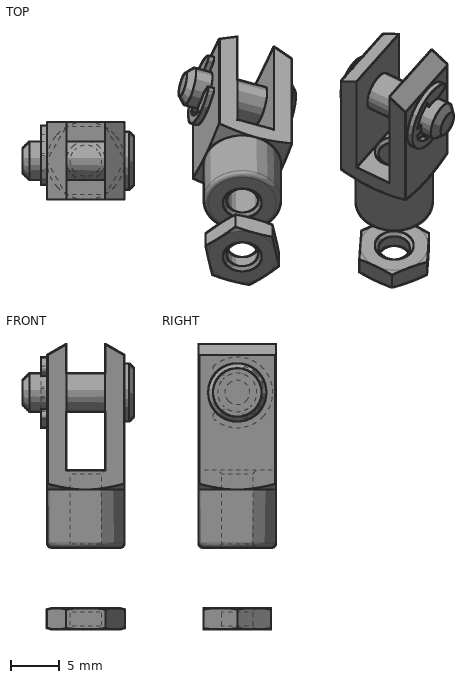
import cadquery as cq
import math

TOTAL_HEIGHT = 29.4
FORK_BOTTOM = 8.4
SHANK_LENGTH = 6.0
SHANK_TOP = FORK_BOTTOM + SHANK_LENGTH
SLOT_FLOOR = 16.4
PIN_HEIGHT = 24.4

FORK_WIDTH = 8.0
HALF_WIDTH = FORK_WIDTH / 2
SLOT_WIDTH = 4.0
HEAD_EDGE_CHAMFER = 0.1
TIP_BEVEL_ANGLE = 30.0
SHOULDER_ANGLE = 20.0
SHANK_EDGE_RADIUS = 0.5

BORE_DIAMETER = 3.23
BORE_MOUTH_DIAMETER = 4.0
BORE_CHAMFER = (BORE_MOUTH_DIAMETER - BORE_DIAMETER) / 2

PIN_DIAMETER = 4.0
PIN_TIP_X = -6.53
PIN_TIP_CHAMFER = 0.74
PIN_HEAD_DIAMETER = 6.0
PIN_HEAD_THICKNESS = 0.97
PIN_HEAD_CHAMFER = 0.5

CLIP_THICKNESS = 0.62
CLIP_RADIUS = 3.65
CLIP_WINDOW_RADIUS = 2.75
CLIP_WINDOW_START = 11.5
CLIP_WINDOW_END = 74.5
CLIP_MOUTH_HALF_WIDTH = 1.45
CLIP_MOUTH_ANGLE = 14.0
CLIP_TIP_RADIUS = 0.47

NUT_HEIGHT = 2.2
NUT_ACROSS_FLATS = 7.0
NUT_ACROSS_CORNERS = NUT_ACROSS_FLATS / math.cos(math.radians(30))
NUT_CHAMFER_ANGLE = 15.0


def cone_rise(run, angle):
    """Height gained by a slope of the given angle over a horizontal run."""
    return run * math.tan(math.radians(angle))


def revolve_about_z(points):
    """Solid of revolution from a closed outline of (radius, z) points."""
    return cq.Workplane("XZ").polyline(points).close().revolve(360, (0, 0), (0, 1))


def make_bore(bottom, top):
    """Cutter for a vertical hole that widens conically at both mouths."""
    radius = BORE_DIAMETER / 2
    mouth = BORE_MOUTH_DIAMETER / 2
    return revolve_about_z([
        (0, bottom),
        (mouth, bottom),
        (radius, bottom + BORE_CHAMFER),
        (radius, top - BORE_CHAMFER),
        (mouth, top),
        (0, top),
    ])


def make_fork_head():
    """Square head with bevelled prong tips and a conical underside."""
    bevel_drop = cone_rise((FORK_WIDTH - SLOT_WIDTH) / 2, TIP_BEVEL_ANGLE)
    head = (
        cq.Workplane("XY", origin=(0, 0, SHANK_TOP))
        .rect(FORK_WIDTH, FORK_WIDTH)
        .extrude(TOTAL_HEIGHT - SHANK_TOP)
        .edges("|Z")
        .chamfer(HEAD_EDGE_CHAMFER)
    )
    prong_profile = (
        cq.Workplane("XZ")
        .polyline([
            (-HALF_WIDTH, SHANK_TOP),
            (HALF_WIDTH, SHANK_TOP),
            (HALF_WIDTH, TOTAL_HEIGHT - bevel_drop),
            (SLOT_WIDTH / 2, TOTAL_HEIGHT),
            (SLOT_WIDTH / 2, SLOT_FLOOR),
            (-SLOT_WIDTH / 2, SLOT_FLOOR),
            (-SLOT_WIDTH / 2, TOTAL_HEIGHT),
            (-HALF_WIDTH, TOTAL_HEIGHT - bevel_drop),
        ])
        .close()
        .extrude(HALF_WIDTH, both=True)
    )
    shoulder_radius = FORK_WIDTH
    shoulder = revolve_about_z([
        (0, SHANK_TOP),
        (HALF_WIDTH, SHANK_TOP),
        (shoulder_radius, SHANK_TOP + cone_rise(shoulder_radius - HALF_WIDTH, SHOULDER_ANGLE)),
        (shoulder_radius, TOTAL_HEIGHT),
        (0, TOTAL_HEIGHT),
    ])
    return head.intersect(prong_profile).intersect(shoulder)


def make_shank():
    """Round shank with a rounded lower edge."""
    return (
        cq.Workplane("XY", origin=(0, 0, FORK_BOTTOM))
        .circle(HALF_WIDTH)
        .extrude(SHANK_LENGTH)
        .faces("<Z")
        .edges()
        .fillet(SHANK_EDGE_RADIUS)
    )


def make_pin():
    """Cross pin with a conical tip at -X and a flat head at +X."""
    shaft = (
        cq.Workplane("YZ", origin=(PIN_TIP_X, 0, PIN_HEIGHT))
        .circle(PIN_DIAMETER / 2)
        .extrude(HALF_WIDTH - PIN_TIP_X)
        .faces("<X")
        .chamfer(PIN_TIP_CHAMFER)
    )
    head = (
        cq.Workplane("YZ", origin=(HALF_WIDTH, 0, PIN_HEIGHT))
        .circle(PIN_HEAD_DIAMETER / 2)
        .extrude(PIN_HEAD_THICKNESS)
        .faces(">X")
        .chamfer(PIN_HEAD_CHAMFER)
    )
    return shaft.union(head)


def make_clip():
    """Retaining clip: a disc with a flared mouth and two curved windows."""
    plane = cq.Workplane("YZ", origin=(-HALF_WIDTH - CLIP_THICKNESS, 0, PIN_HEIGHT))
    mouth_depth = 2 * CLIP_RADIUS
    mouth_outer = CLIP_MOUTH_HALF_WIDTH + cone_rise(mouth_depth, CLIP_MOUTH_ANGLE)
    mouth = (
        plane.polyline([
            (0, -CLIP_MOUTH_HALF_WIDTH),
            (0, CLIP_MOUTH_HALF_WIDTH),
            (-mouth_depth, mouth_outer),
            (-mouth_depth, -mouth_outer),
        ])
        .close()
        .extrude(CLIP_THICKNESS)
    )
    clip = plane.circle(CLIP_RADIUS).extrude(CLIP_THICKNESS).cut(mouth)
    clip = clip.edges("|X and <Y").fillet(CLIP_TIP_RADIUS)
    for side in (-1, 1):
        start, middle, end = [
            (CLIP_WINDOW_RADIUS * math.cos(angle), side * CLIP_WINDOW_RADIUS * math.sin(angle))
            for angle in (
                math.radians(CLIP_WINDOW_START),
                math.radians((CLIP_WINDOW_START + CLIP_WINDOW_END) / 2),
                math.radians(CLIP_WINDOW_END),
            )
        ]
        window = (
            plane.moveTo(0, 0)
            .lineTo(*start)
            .threePointArc(middle, end)
            .close()
            .extrude(CLIP_THICKNESS)
        )
        clip = clip.cut(window)
    return clip


def make_fork():
    """Fork with its cross pin and clip, as one solid."""
    fork = make_fork_head().union(make_shank())
    fork = fork.cut(make_bore(FORK_BOTTOM, SLOT_FLOOR))
    return fork.union(make_clip()).union(make_pin())


def make_nut():
    """Hexagon nut with corners on the X axis and both ends chamfered."""
    flat_radius = NUT_ACROSS_FLATS / 2
    corner_radius = NUT_ACROSS_CORNERS / 2
    corner_drop = cone_rise(corner_radius - flat_radius, NUT_CHAMFER_ANGLE)
    hexagon = cq.Workplane("XY").polygon(6, NUT_ACROSS_CORNERS).extrude(NUT_HEIGHT)
    envelope = revolve_about_z([
        (0, 0),
        (flat_radius, 0),
        (corner_radius, corner_drop),
        (corner_radius, NUT_HEIGHT - corner_drop),
        (flat_radius, NUT_HEIGHT),
        (0, NUT_HEIGHT),
    ])
    return hexagon.intersect(envelope).cut(make_bore(0, NUT_HEIGHT))


fork = make_fork()
nut = make_nut()

result = cq.Compound.makeCompound([fork.val(), nut.val()])